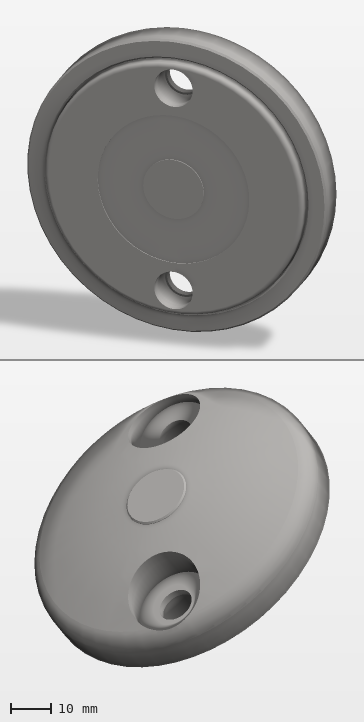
import cadquery as cq
import math


rim_radius = 39.5
rim_front = 2.2
rim_chamfer = 0.5
shoulder_radius = 5.0
dome_radius = 100.0
dome_apex = 20.5
pocket_radius = 34.4
pocket_chamfer = 0.5

plate_radius = 34.0
plate_depth = 8.0
plate_fillet = 1.0
hub_radius = 20.0
hub_front = 0.2

pin_shank_radius = 8.0
pin_head_radius = 8.4
pin_top = 20.6
pin_head_height = 2.0
pin_chamfer = 0.4

screw_offset = 27.5
plate_hole_radius = 5.05
screw_hole_radius = 4.5
counterbore_radius = 9.99
counterbore_floor = plate_depth + 2.0


def cylinder(radius, start, end, height_z=0):
    """Cylinder along Y between two y positions, centred at x = 0, z = height_z."""
    base = cq.Vector(0, start, height_z)
    return cq.Workplane(cq.Solid.makeCylinder(radius, end - start, base, cq.Vector(0, 1, 0)))


def make_pin():
    shank = cylinder(pin_shank_radius, 0, pin_top)
    head = cylinder(pin_head_radius, pin_top - pin_head_height, pin_top)
    head = head.faces(">Y").chamfer(pin_chamfer)
    return shank.union(head)


def make_plate():
    plate = cylinder(plate_radius, 0, plate_depth).faces("<Y").edges().fillet(plate_fillet)
    plate = plate.cut(cylinder(hub_radius, 0, plate_depth))
    for side in (-1, 1):
        plate = plate.cut(cylinder(plate_hole_radius, 0, plate_depth, side * screw_offset))
    return plate


def make_dome():
    """Rim, rounded shoulder and spherical dome, before any cuts."""
    sphere_y = dome_apex - dome_radius
    shoulder_x = rim_radius - shoulder_radius
    centre_distance = dome_radius - shoulder_radius
    shoulder_rise = math.sqrt(centre_distance**2 - shoulder_x**2)
    shoulder_y = sphere_y + shoulder_rise
    tangent_angle = math.atan2(shoulder_rise, shoulder_x)

    def shoulder_point(angle):
        return (
            shoulder_x + shoulder_radius * math.cos(angle),
            shoulder_y + shoulder_radius * math.sin(angle),
        )

    dome_mid_angle = (tangent_angle + math.pi / 2) / 2
    dome_middle = (
        dome_radius * math.cos(dome_mid_angle),
        sphere_y + dome_radius * math.sin(dome_mid_angle),
    )
    return (
        cq.Workplane("XY")
        .moveTo(0, rim_front)
        .lineTo(rim_radius - rim_chamfer, rim_front)
        .lineTo(rim_radius, rim_front + rim_chamfer)
        .lineTo(rim_radius, shoulder_y)
        .threePointArc(shoulder_point(tangent_angle / 2), shoulder_point(tangent_angle))
        .threePointArc(dome_middle, (0, dome_apex))
        .close()
        .revolve(360, (0, 0, 0), (0, 1, 0))
    )


def make_pocket():
    """Plate pocket with a chamfered mouth."""
    mouth_radius = pocket_radius + pocket_chamfer
    return (
        cq.Workplane("XY")
        .moveTo(0, rim_front)
        .lineTo(mouth_radius, rim_front)
        .lineTo(pocket_radius, rim_front + pocket_chamfer)
        .lineTo(pocket_radius, plate_depth)
        .lineTo(0, plate_depth)
        .close()
        .revolve(360, (0, 0, 0), (0, 1, 0))
    )


def make_housing(pin):
    housing = make_dome().cut(make_pocket())
    housing = housing.union(cylinder(hub_radius, hub_front, counterbore_floor))
    for side in (-1, 1):
        height_z = side * screw_offset
        housing = housing.cut(cylinder(screw_hole_radius, 0, pin_top, height_z))
        housing = housing.cut(cylinder(counterbore_radius, counterbore_floor, pin_top, height_z))
    return housing.cut(pin)


pin = make_pin()
plate = make_plate()
housing = make_housing(pin)

bodies = [housing, plate, pin]
result = cq.Compound.makeCompound([body.solids().val() for body in bodies])